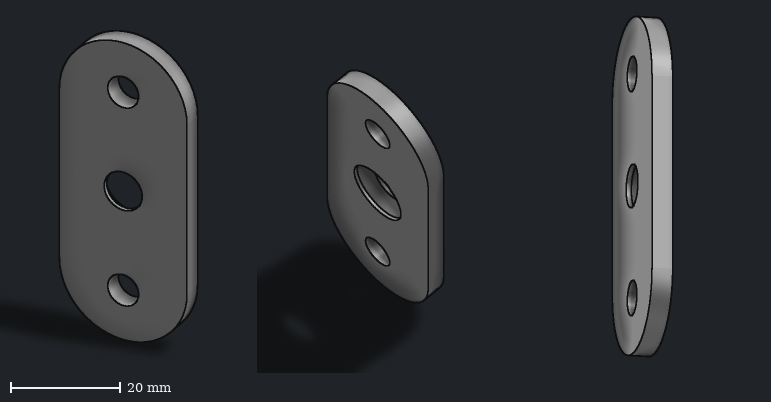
import cadquery as cq

length = 63.0
width = 27.0
thickness = 4.0

side_hole_diameter = 6.5
side_hole_offset = 21.0

centre_hole_diameter = 8.0
recess_diameter = 12.5
recess_depth = 0.75

front_y = -thickness / 2
back_y = thickness / 2


def make_plate():
    """Upright plate with full-round ends, centred on the origin."""
    return cq.Workplane("XZ").slot2D(length, width, 90).extrude(back_y, both=True)


def side_holes():
    """Two through holes, above and below the centre."""
    return (
        cq.Workplane("XZ")
        .pushPoints([(0, side_hole_offset), (0, -side_hole_offset)])
        .circle(side_hole_diameter / 2)
        .extrude(back_y, both=True)
    )


def centre_hole():
    """Half profile of the stepped hole, turned about the Y axis."""
    bore_radius = centre_hole_diameter / 2
    recess_radius = recess_diameter / 2
    cone_end_y = back_y - recess_depth
    cone_start_y = cone_end_y - (recess_radius - bore_radius)
    return (
        cq.Workplane("XY")
        .moveTo(0, front_y)
        .lineTo(bore_radius, front_y)
        .lineTo(bore_radius, cone_start_y)
        .lineTo(recess_radius, cone_end_y)
        .lineTo(recess_radius, back_y)
        .lineTo(0, back_y)
        .close()
        .revolve(360, (0, 0, 0), (0, 1, 0))
    )


result = make_plate().cut(side_holes()).cut(centre_hole())